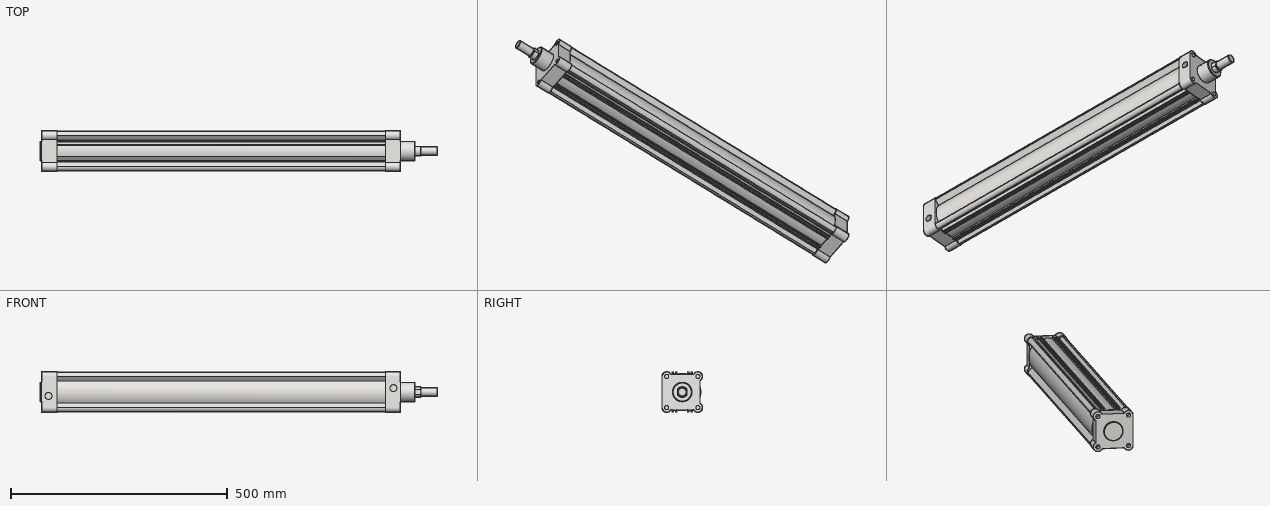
import cadquery as cq
import math


body_length = 828.0
rear_cap_length = 36.0
front_cap_length = 34.0
nub_length = 4.0
neck_length = 34.0
rod_reach = 48.0
thread_length = 38.0
tube_length = body_length - rear_cap_length - front_cap_length

cap_half = 47.0
corner_offset = 36.0
cap_corner_radius = cap_half - corner_offset
recess_face = 41.0
collar_diameter = 45.0
collar_chamfer = 1.5
nub_chamfer = 1.0
mount_hole_diameter = 9.5
mount_hole_depth = 17.0
port_diameter = 16.0
port_depth = 12.0
port_end_distance = 16.0
port_height = 9.0

tube_radius = 43.0
tube_half = 46.0
tube_corner_radius = tube_half - corner_offset
flank_offset = tube_half - corner_offset
slot_centre = 18.0
slot_width = 5.0
slot_floor = 43.0
rail_width = 11.0

rod_diameter = 25.0
rod_flats = 22.0
thread_diameter = 20.0
shoulder_chamfer = 2.0
thread_chamfer = 1.0


def section_plane(x):
    """Plane across the axis: local x is Y and local y is Z."""
    return cq.Plane(origin=(x, 0, 0), xDir=(0, 1, 0), normal=(1, 0, 0))


def cap_block(x, length):
    """Cap body: flat on -Y, recessed between round corner lobes on the other three sides."""
    recess_edge = corner_offset - math.sqrt(cap_corner_radius**2 - (recess_face - corner_offset) ** 2)
    diagonal = corner_offset + cap_corner_radius / math.sqrt(2)
    inner_bend = 2 * corner_offset - diagonal
    return (
        cq.Workplane(section_plane(x))
        .moveTo(-cap_half, -corner_offset)
        .lineTo(-cap_half, corner_offset)
        .threePointArc((-diagonal, diagonal), (-corner_offset, cap_half))
        .threePointArc((-inner_bend, diagonal), (-recess_edge, recess_face))
        .lineTo(recess_edge, recess_face)
        .threePointArc((diagonal, diagonal), (recess_face, recess_edge))
        .lineTo(recess_face, -recess_edge)
        .threePointArc((diagonal, -diagonal), (recess_edge, -recess_face))
        .lineTo(-recess_edge, -recess_face)
        .threePointArc((-inner_bend, -diagonal), (-corner_offset, -cap_half))
        .threePointArc((-diagonal, -diagonal), (-cap_half, -corner_offset))
        .close()
        .extrude(length)
    )


def round_bar(x, length, diameter):
    """Cylinder on the axis, from x towards +X."""
    return cq.Workplane(section_plane(x)).circle(diameter / 2).extrude(length)


def mount_holes(x):
    """Four blind holes at the cap corners, from x towards +X."""
    return (
        cq.Workplane(section_plane(x))
        .rect(2 * corner_offset, 2 * corner_offset, forConstruction=True)
        .vertices()
        .circle(mount_hole_diameter / 2)
        .extrude(mount_hole_depth)
    )


def port(x, z):
    """Blind air port going in from the -Y face."""
    port_plane = cq.Plane(origin=(x, -cap_half, z), xDir=(1, 0, 0), normal=(0, 1, 0))
    return cq.Workplane(port_plane).circle(port_diameter / 2).extrude(port_depth)


def make_rear_cap():
    nub = round_bar(-nub_length, nub_length, collar_diameter).faces("<X").chamfer(nub_chamfer)
    return (
        cap_block(0, rear_cap_length)
        .union(nub)
        .cut(mount_holes(0))
        .cut(port(port_end_distance, -port_height))
    )


def make_front_cap():
    neck = round_bar(body_length, neck_length, collar_diameter).faces(">X").chamfer(collar_chamfer)
    return (
        cap_block(body_length - front_cap_length, front_cap_length)
        .union(neck)
        .cut(mount_holes(body_length - mount_hole_depth))
        .cut(port(body_length - port_end_distance, port_height))
    )


def tube_corner(side, level):
    """Corner bar: two 45 degree flanks, closed outside by a quarter round."""
    diagonal = corner_offset + tube_corner_radius / math.sqrt(2)
    return (
        cq.Workplane(section_plane(rear_cap_length))
        .moveTo(side * flank_offset, 0)
        .lineTo(side * tube_half, level * corner_offset)
        .threePointArc((side * diagonal, level * diagonal), (side * corner_offset, level * tube_half))
        .lineTo(0, level * flank_offset)
        .close()
        .extrude(tube_length)
    )


def slot_rail(side, level):
    """Rail on the top or bottom of the tube, and the cutter for its sensor slot."""
    rail = (
        cq.Workplane(section_plane(rear_cap_length))
        .center(side * slot_centre, level * tube_half / 2)
        .rect(rail_width, tube_half)
        .extrude(tube_length)
    )
    slot_depth = tube_half - slot_floor
    slot_middle = slot_floor + slot_depth / 2
    slot = (
        cq.Workplane(section_plane(rear_cap_length))
        .center(side * slot_centre, level * slot_middle)
        .rect(slot_width, slot_depth)
        .extrude(tube_length)
    )
    return rail, slot


def make_tube():
    tube = round_bar(rear_cap_length, tube_length, 2 * tube_radius)
    slots = []
    for side in (-1, 1):
        for level in (-1, 1):
            rail, slot = slot_rail(side, level)
            tube = tube.union(tube_corner(side, level)).union(rail)
            slots.append(slot)
    for slot in slots:
        tube = tube.cut(slot)
    return tube


def make_rod():
    """Rod end with two spanner flats facing +-Y and a threaded stud."""
    start = body_length + neck_length
    shank_length = rod_reach - neck_length
    flats = cq.Workplane(section_plane(start)).rect(rod_flats, rod_diameter).extrude(shank_length)
    shank = round_bar(start, shank_length, rod_diameter).faces(">X").chamfer(shoulder_chamfer)
    stud = round_bar(body_length + rod_reach, thread_length, thread_diameter)
    return shank.intersect(flats).union(stud.faces(">X").chamfer(thread_chamfer))


rear_cap = make_rear_cap()
tube = make_tube()
front_cap = make_front_cap()
rod = make_rod()

result = cq.Compound.makeCompound([rear_cap.val(), tube.val(), front_cap.val(), rod.val()])